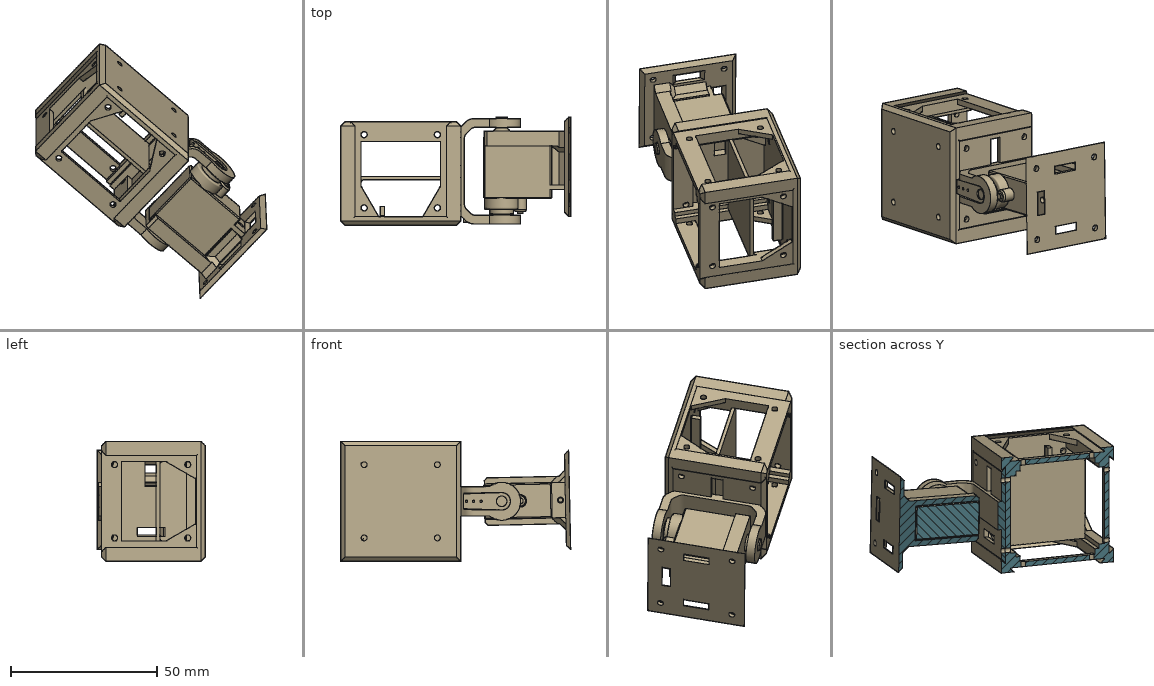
import cadquery as cq
import math

CUBE = 41.0
EDGE = 1.5
HALF = CUBE / 2
FRONT_Y = -18.5
BACK_Y = 17.0
SCREW_PITCH = 25.0
SCREW_D = 2.0
OVERLAP = 1.0

WALL = 1.9
CAVITY = HALF - EDGE - WALL
FRONT_INNER_Y = FRONT_Y + 2 * EDGE
RECESS_HALF = 15.7
WINDOW_HALF = 13.55
WINDOW_BACK_Y = 10.1
WINDOW_TAPER_Y = -5.0
WINDOW_TAPER_ANGLE = 60.0
BAY_HALF = 15.1
RIB_X = (-7.0, -5.5)
RIB_Y = (-15.1, -12.0)
RIB_FOOT_INSET = 0.1
PARTITION_Y = (-2.95, -1.7)
PARTITION_FILLET = 1.0

TONGUE_HALF = 15.5
TONGUE = EDGE

AXIS_X = 34.45
TILT = 1.2
ARM_INNER_Y = 15.0
ARM = 3.0
ARM_OUTER_Y = ARM_INNER_Y + ARM
ARM_HALF_Z = 5.05
KNUCKLE_D = 13.0
BEVEL_OFFSET = 5.3
BEVEL_STEP = ARM * math.sqrt(2)
OUTER_BEND_R = 4.0
INNER_BEND_R = 2.5
BASE_OUTER_X = HALF
BASE_INNER_X = 21.75
PIN_D = 4.0
PIN_HOLE_D = 4.3
PIN_TIP_Y = 18.5
PIN_FOOT_D = 6.0

UPPER_SLOT = (-2.05, 2.05, ARM_HALF_Z, 14.0)
LOWER_SLOT = (-4.7, 4.7, -12.0, -9.0)

HORN_R = 2.95
HORN_END_HALF = 2.5
HORN_LENGTH = AXIS_X - 21.4
HORN_FACE_Y = -17.4
HORN_FLOOR_Y = -16.3
HORN_BORE_D = 3.6
HORN_BORE_DEPTH = 0.5
HORN_PINHOLE_D = 0.75
HORN_PINHOLE_X = (-7.0, -9.6, -12.0)
HUB_D = 6.0
POCKET_R = 3.0
POCKET_END_HALF = 2.85

SERVO_X = (-6.05, 17.15)
SERVO_Y = (-9.35, 12.0)
SERVO_HALF_Z = 6.0
SERVO_CHAMFER = 0.45
EAR_Y = (-6.25, -4.6)
EAR_HOLE_X = 20.1
EAR_HOLE_D = 2.0
GEARBOX_D = 11.85
GEARBOX_Y = -13.0
GEARBOX_ROUND = 0.5
IDLER_X = 6.35
IDLER_D = 4.3
IDLER_Y = -13.1
IDLER_TIP_D = 3.5
IDLER_TIP_Y = -13.75
STUD_D = 2.0
STUD_Y = -14.35
FLANGE_D = 8.25
FLANGE_Y = -14.55

CRADLE_LEFT = -5.8
CRADLE_HALF_Z = 8.15
CRADLE_Y = (8.7, 13.7)
CRADLE_NOSE = 1.0
SEAT_HALF_Z = 6.1
SEAT_END_X = 17.3
END_X = 21.75
PILOT_D = 1.5
PILOT_DEPTH = 3.0
BRACE_X = 19.7
GUSSET_TOP_Y = 8.2
GUSSET_FOOT_Y = 6.6
BRACE_RISE = END_X - BRACE_X
TONGUE_SHIFT_Y = 1.5
WINDOW_BEVEL = 1.2
END_SLOT = (-4.15, 7.1, 9.2, 13.15)
SIDE_SLOT = (-11.7, -6.4, -5.3, 5.3)


def block(x, y, z):
    """Box from three (low, high) pairs."""
    return cq.Workplane(
        cq.Solid.makeBox(x[1] - x[0], y[1] - y[0], z[1] - z[0], cq.Vector(x[0], y[0], z[0]))
    )


def rod(diameter, y_from, y_to, x=0.0, z=0.0):
    """Cylinder along Y."""
    length = abs(y_to - y_from)
    start = cq.Vector(x, min(y_from, y_to), z)
    return cq.Workplane(cq.Solid.makeCylinder(diameter / 2, length, start, cq.Vector(0, 1, 0)))


def cone(d_from, d_to, y_from, y_to, x=0.0):
    """Cone along Y."""
    direction = cq.Vector(0, math.copysign(1, y_to - y_from), 0)
    return cq.Workplane(
        cq.Solid.makeCone(d_from / 2, d_to / 2, abs(y_to - y_from), cq.Vector(x, y_from, 0), direction)
    )


def yz_rectangle(x, y, z):
    """Rectangular wire in the plane at X = x."""
    corners = [(y[0], z[0]), (y[1], z[0]), (y[1], z[1]), (y[0], z[1])]
    return cq.Wire.makePolygon([cq.Vector(x, cy, cz) for cy, cz in corners], close=True)


def yz_frustum(x_from, x_to, y, z, growth):
    """Rectangle at x_from that is larger by `growth` on each side at x_to."""
    first = yz_rectangle(x_from, y, z)
    last = yz_rectangle(x_to, (y[0] - growth, y[1] + growth), (z[0] - growth, z[1] + growth))
    return cq.Workplane(cq.Solid.makeLoft([first, last], True))


def four_sides(tool):
    """Copies of a +X tool turned about Y onto the four sides of the cube."""
    return [tool.rotate((0, 0, 0), (0, 1, 0), 90 * turn) for turn in range(4)]


def screw_points():
    half = SCREW_PITCH / 2
    return [(a, b) for a in (-half, half) for b in (-half, half)]


def make_cube():
    body = block((-HALF, HALF), (FRONT_Y, BACK_Y), (-HALF, HALF))
    body = body.faces("<Y or >Y").chamfer(EDGE)
    inside = (FRONT_INNER_Y, BACK_Y)
    body = body.cut(block((-CAVITY, CAVITY), inside, (-WINDOW_HALF, WINDOW_HALF)))
    body = body.cut(block((-WINDOW_HALF, WINDOW_HALF), inside, (-CAVITY, CAVITY)))
    body = body.cut(block((-BAY_HALF, BAY_HALF), inside, (-BAY_HALF, BAY_HALF)))

    recess = yz_frustum(
        HALF, HALF - EDGE, (FRONT_INNER_Y, BACK_Y + EDGE), (-RECESS_HALF, RECESS_HALF), EDGE
    )
    taper = (WINDOW_TAPER_Y - FRONT_INNER_Y) / math.tan(math.radians(WINDOW_TAPER_ANGLE))
    tip = WINDOW_HALF - taper
    window = (
        cq.Workplane("YZ", origin=(CAVITY - OVERLAP, 0, 0))
        .polyline([
            (WINDOW_BACK_Y, -WINDOW_HALF), (WINDOW_BACK_Y, WINDOW_HALF),
            (WINDOW_TAPER_Y, WINDOW_HALF), (FRONT_INNER_Y, tip),
            (FRONT_INNER_Y, -tip), (WINDOW_TAPER_Y, -WINDOW_HALF),
        ])
        .close()
        .extrude(WALL + OVERLAP)
    )
    side_holes = cq.Workplane("YZ", origin=(CAVITY - OVERLAP, 0, 0)).pushPoints(screw_points())
    side_holes = side_holes.circle(SCREW_D / 2).extrude(WALL + OVERLAP)
    for tool in (recess, window, side_holes):
        for copy in four_sides(tool):
            body = body.cut(copy)
    for x, z in screw_points():
        body = body.cut(rod(SCREW_D, FRONT_Y, FRONT_INNER_Y, x, z))
    return body.union(make_partition()).union(make_rib())


def make_rib():
    """Upright rib on the inside of the front wall, standing on a slightly smaller foot."""
    half = BAY_HALF
    foot_half = half - RIB_FOOT_INSET
    rib = block(RIB_X, RIB_Y, (-half, half))
    foot_x = (RIB_X[0] + RIB_FOOT_INSET, RIB_X[1] - RIB_FOOT_INSET)
    return rib.union(block(foot_x, (FRONT_INNER_Y, RIB_Y[0]), (-foot_half, foot_half)))


def make_partition():
    """Wall across the bay, with two corner blocks that run forward from it to the front wall."""
    bay = (-BAY_HALF, BAY_HALF)
    wall = block(bay, PARTITION_Y, bay)
    corner = (-BAY_HALF, -WINDOW_HALF)
    root = PARTITION_Y[0]
    forward = (FRONT_INNER_Y, root)
    lower_block = block(corner, forward, corner)
    upper_block = lower_block.mirror("XY")
    wall = wall.union(lower_block).union(upper_block)
    lower_roots = [(-WINDOW_HALF, root, -BAY_HALF), (-BAY_HALF, root, -WINDOW_HALF)]
    upper_root = [(-BAY_HALF, root, WINDOW_HALF)]
    for points in (lower_roots, upper_root):
        wall = round_roots(wall, points)
    return wall


def round_roots(wall, points):
    """Fillets where the corner blocks meet the partition, one edge near each point."""
    edges = [wall.edges(cq.selectors.NearestToPointSelector(point)).val() for point in points]
    return cq.Workplane(wall.val().fillet(PARTITION_FILLET, edges))


def dovetail_plate(narrow_x, wide_x):
    """Square plate with slanted edges and four screw holes, made to slide into a cube recess."""
    span = (-TONGUE_HALF, TONGUE_HALF)
    plate = yz_frustum(narrow_x, wide_x, span, span, TONGUE)
    low, high = min(narrow_x, wide_x), max(narrow_x, wide_x)
    for y, z in screw_points():
        hole = cq.Solid.makeCylinder(SCREW_D / 2, high - low, cq.Vector(low, y, z), cq.Vector(1, 0, 0))
        plate = plate.cut(cq.Workplane(hole))
    return plate


def horn_outline(round_r, end_half, length, y_from, y_to):
    """Tapered arm along -X with a round end on the hinge axis."""
    return (
        cq.Workplane("XZ", origin=(0, y_to, 0))
        .moveTo(-length, -end_half)
        .lineTo(0, -round_r)
        .threePointArc((round_r, 0), (0, round_r))
        .lineTo(-length, end_half)
        .close()
        .extrude(y_to - y_from)
    )


def make_bracket():
    corners = [
        (BASE_OUTER_X, BASE_OUTER_X - BEVEL_OFFSET),
        (ARM_OUTER_Y + BEVEL_OFFSET, ARM_OUTER_Y),
        (AXIS_X, ARM_OUTER_Y),
        (AXIS_X, ARM_INNER_Y),
        (ARM_INNER_Y + BEVEL_OFFSET + BEVEL_STEP, ARM_INNER_Y),
        (BASE_INNER_X, BASE_INNER_X - BEVEL_OFFSET - BEVEL_STEP),
    ]
    outline = corners + [(x, -y) for x, y in reversed(corners)]
    yoke = cq.Workplane("XY", origin=(0, 0, -ARM_HALF_Z)).polyline(outline).close()
    yoke = yoke.extrude(2 * ARM_HALF_Z)
    for index, radius in ((1, OUTER_BEND_R), (4, INNER_BEND_R), (5, INNER_BEND_R)):
        x, y = corners[index]
        for side_y in (-y, y):
            corner = cq.selectors.NearestToPointSelector((x, side_y, 0))
            yoke = yoke.edges("|Z").edges(corner).fillet(radius)
    for side in (-1, 1):
        yoke = yoke.union(rod(KNUCKLE_D, side * ARM_INNER_Y, side * ARM_OUTER_Y, AXIS_X))
    yoke = yoke.cut(rod(PIN_HOLE_D, ARM_INNER_Y, ARM_OUTER_Y, AXIS_X))
    yoke = yoke.cut(rod(HUB_D, -ARM_OUTER_Y, -ARM_INNER_Y, AXIS_X))
    pocket = horn_outline(POCKET_R, POCKET_END_HALF, HORN_LENGTH, -ARM_OUTER_Y, HORN_FLOOR_Y)
    yoke = yoke.cut(pocket.translate((AXIS_X, 0, 0)))

    base = dovetail_plate(HALF, HALF - TONGUE)
    for y0, y1, z0, z1 in (UPPER_SLOT, LOWER_SLOT):
        base = base.cut(block((HALF - TONGUE, HALF), (y0, y1), (z0, z1)))
    return base.union(yoke)


def make_horn():
    horn = horn_outline(HORN_R, HORN_END_HALF, HORN_LENGTH, HORN_FACE_Y, HORN_FLOOR_Y)
    horn = horn.union(rod(HUB_D, HORN_FLOOR_Y, FLANGE_Y))
    horn = horn.cut(rod(HORN_BORE_D, HORN_FACE_Y, HORN_FACE_Y + HORN_BORE_DEPTH))
    for x in HORN_PINHOLE_X:
        horn = horn.cut(rod(HORN_PINHOLE_D, HORN_FACE_Y, HORN_FLOOR_Y, x))
    return horn.translate((AXIS_X, 0, 0))


def tilted(shape):
    """Turns a hinge-centred shape by the tilt and moves it onto the hinge axis."""
    return shape.rotate((0, 0, 0), (0, 1, 0), -TILT).translate((AXIS_X, 0, 0))


def make_servo():
    case = block(SERVO_X, SERVO_Y, (-SERVO_HALF_Z, SERVO_HALF_Z))
    case = case.edges().chamfer(SERVO_CHAMFER)
    ear = block((SERVO_X[1] - OVERLAP, END_X), EAR_Y, (-SERVO_HALF_Z, SERVO_HALF_Z))
    case = case.union(ear).cut(rod(EAR_HOLE_D, *EAR_Y, EAR_HOLE_X))
    gearbox = rod(GEARBOX_D, SERVO_Y[0] + OVERLAP, GEARBOX_Y).faces("<Y").edges().fillet(GEARBOX_ROUND)
    idler = rod(IDLER_D, SERVO_Y[0] + OVERLAP, IDLER_Y, IDLER_X)
    idler = idler.union(cone(IDLER_D, IDLER_TIP_D, IDLER_Y, IDLER_TIP_Y, IDLER_X))
    idler = idler.union(rod(STUD_D, IDLER_TIP_Y, STUD_Y, IDLER_X))
    flange = rod(FLANGE_D, GEARBOX_Y, FLANGE_Y)
    return tilted(case.union(gearbox).union(idler).union(flange))


def brace(half_z, y):
    """Block ahead of the end plate whose top and bottom flare out at 45 degrees."""
    return (
        cq.Workplane("XZ", origin=(0, y[1], 0))
        .polyline([
            (SEAT_END_X, -half_z), (BRACE_X, -half_z), (END_X, -half_z - BRACE_RISE),
            (END_X, half_z + BRACE_RISE), (BRACE_X, half_z), (SEAT_END_X, half_z),
        ])
        .close()
        .extrude(y[1] - y[0])
    )


def bevelled_slot(y, z):
    """Slot through the end plate, wide at the hinge side and narrowing to a short straight part."""
    slot = yz_frustum(END_X, END_X + WINDOW_BEVEL, y, z, -WINDOW_BEVEL)
    narrow_y = (y[0] + WINDOW_BEVEL, y[1] - WINDOW_BEVEL)
    narrow_z = (z[0] + WINDOW_BEVEL, z[1] - WINDOW_BEVEL)
    return slot.union(block((END_X, END_X + TONGUE), narrow_y, narrow_z))


def loft_between(first, last):
    """Straight-sided solid between two outlines of the same number of points."""
    wires = [cq.Wire.makePolygon([cq.Vector(*p) for p in points], close=True) for points in (first, last)]
    return cq.Workplane(cq.Solid.makeLoft(wires, True))


def make_gusset():
    """Slanted corner between the tall and the low brace, rising with both towards the end plate."""
    side_y = CRADLE_Y[0]
    low, high = SEAT_HALF_Z, CRADLE_HALF_Z
    slope = (high - low) / (GUSSET_TOP_Y - GUSSET_FOOT_Y)
    foot_x = BRACE_X - slope * (side_y - GUSSET_FOOT_Y)
    top_x = BRACE_X - slope * (side_y - GUSSET_TOP_Y)
    nose = loft_between(
        [(foot_x, side_y, low), (BRACE_X, side_y, low), (BRACE_X, GUSSET_FOOT_Y, low)],
        [(top_x, side_y, high), (BRACE_X, side_y, high), (BRACE_X, GUSSET_TOP_Y, high)],
    )
    section = [(side_y, low), (GUSSET_FOOT_Y, low), (GUSSET_TOP_Y, high), (side_y, high)]
    tail = loft_between(
        [(BRACE_X, y, z) for y, z in section],
        [(END_X, y, z + BRACE_RISE) for y, z in section],
    )
    return nose.union(tail)


def make_cradle():
    cup = block((CRADLE_LEFT, END_X), CRADLE_Y, (-CRADLE_HALF_Z, CRADLE_HALF_Z))
    cup = cup.edges("<X and |Y").chamfer(CRADLE_NOSE)
    seat = block((CRADLE_LEFT, SEAT_END_X), (CRADLE_Y[0], SERVO_Y[1]), (-SEAT_HALF_Z, SEAT_HALF_Z))
    body = cup.cut(seat)
    body = body.union(brace(CRADLE_HALF_Z, CRADLE_Y))
    body = body.union(brace(SEAT_HALF_Z, (EAR_Y[1], CRADLE_Y[0])))
    body = body.cut(rod(PILOT_D, EAR_Y[1], EAR_Y[1] + PILOT_DEPTH, EAR_HOLE_X))

    plate = dovetail_plate(END_X, END_X + TONGUE).translate((0, TONGUE_SHIFT_Y, 0))
    body = body.union(plate)
    y0, y1, z0, z1 = END_SLOT
    end_slot = bevelled_slot((y0, y1), (z0 - WINDOW_BEVEL, z1))
    end_slot = end_slot.intersect(block((END_X, END_X + TONGUE), (y0, y1), (z0, z1)))
    side_slot = bevelled_slot(SIDE_SLOT[:2], SIDE_SLOT[2:])
    for slot in (end_slot, end_slot.mirror("XY"), side_slot):
        body = body.cut(slot)
    gusset = make_gusset()
    body = body.union(gusset).union(gusset.mirror("XY"))

    pin = cone(PIN_FOOT_D, PIN_D, CRADLE_Y[1], CRADLE_Y[1] + (PIN_FOOT_D - PIN_D) / 2)
    pin = pin.union(rod(PIN_D, CRADLE_Y[1], PIN_TIP_Y))
    return tilted(body.union(pin))


cube = make_cube()
bracket = make_bracket()
horn = make_horn()
servo = make_servo()
cradle = make_cradle()

bodies = [cube, bracket, horn, servo, cradle]
result = cq.Compound.makeCompound([body.solids().val() for body in bodies])